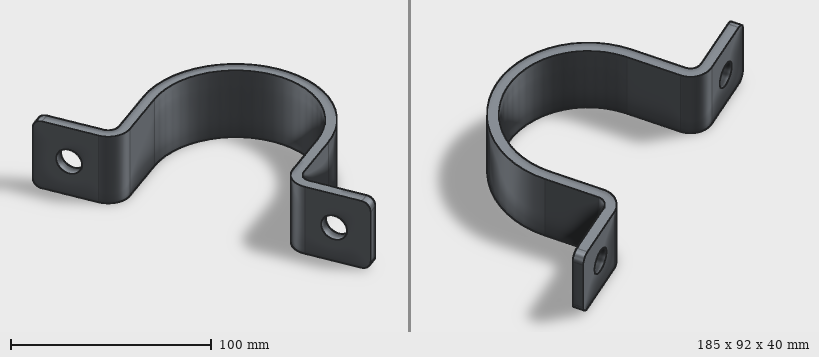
import cadquery as cq

overall_length = 185.0
overall_depth = 92.0
strap_width = 40.0
thickness = 6.0
saddle_outer_radius = 50.5
bend_inner_radius = 6.0
hole_diameter = 14.0
hole_spacing = 145.0
corner_radius = 5.0

half_length = overall_length / 2
saddle_inner_radius = saddle_outer_radius - thickness
bend_outer_radius = bend_inner_radius + thickness
front_y = saddle_outer_radius - overall_depth
tab_back_y = front_y + thickness
bend_center_x = saddle_outer_radius + bend_inner_radius
bend_center_y = front_y + bend_outer_radius


def make_saddle():
    """Half ring that wraps around the pipe."""
    return (
        cq.Workplane("XY")
        .moveTo(saddle_outer_radius, 0)
        .threePointArc((0, saddle_outer_radius), (-saddle_outer_radius, 0))
        .lineTo(-saddle_inner_radius, 0)
        .threePointArc((0, saddle_inner_radius), (saddle_inner_radius, 0))
        .close()
        .extrude(strap_width / 2, both=True)
    )


def make_foot():
    """Straight leg, outward bend and drilled mounting tab on the +X side."""
    foot = (
        cq.Workplane("XY")
        .moveTo(saddle_inner_radius, 0)
        .lineTo(saddle_inner_radius, bend_center_y)
        .radiusArc((bend_center_x, front_y), -bend_outer_radius)
        .lineTo(half_length, front_y)
        .lineTo(half_length, tab_back_y)
        .lineTo(bend_center_x, tab_back_y)
        .radiusArc((saddle_outer_radius, bend_center_y), bend_inner_radius)
        .lineTo(saddle_outer_radius, 0)
        .close()
        .extrude(strap_width / 2, both=True)
    )
    foot = foot.faces(">X").edges("|Y").fillet(corner_radius)
    hole = (
        cq.Workplane("XZ", origin=(hole_spacing / 2, tab_back_y, 0))
        .circle(hole_diameter / 2)
        .extrude(thickness)
    )
    return foot.cut(hole)


right_foot = make_foot()
left_foot = right_foot.mirror("YZ")
result = make_saddle().union(right_foot).union(left_foot)